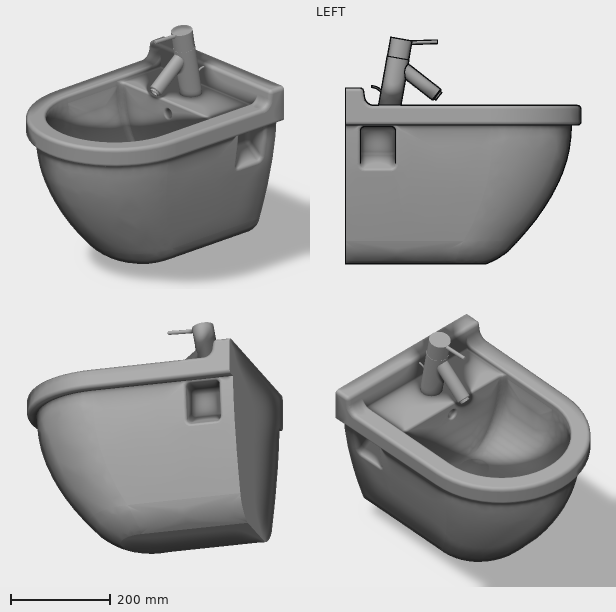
import cadquery as cq
import math


BACK_HALF_WIDTH = 182.5
FRONT_RADIUS = 180.0
LENGTH = 475.0
FRONT_CENTER_Y = FRONT_RADIUS - LENGTH
RIM_TOP = 320.0
RIM_BOTTOM = 280.0
LEDGE_TOP = 355.0
LEDGE_DEPTH = 36.0
LEDGE_DRAFT = 8.0
COVE_RADIUS = 19.0
RIM_EDGE_RADIUS = 8.0
RIM_LOWER_RADIUS = 7.0

SKIRT_TOP = 300.0
SKIRT_TOP_HALF_WIDTH = 160.0
SKIRT_TOP_FRONT = 456.0
BELLY_HEIGHT = 46.0
BELLY_HALF_WIDTH = 109.0
BELLY_FRONT = 347.0
FLOOR_HALF_WIDTH = 58.0
FLOOR_FRONT = 283.0
SIDE_POWER = 1.55
FRONT_POWER = 2.0
SIDE_ROUNDING = 1.5
FRONT_ROUNDING = 1.25
SKIRT_STEPS = 4

DECK_HEIGHT = 310.0
DECK_CORNER_RADIUS = 3.5
BOWL_HALF_WIDTH = 140.0
BOWL_FRONT_Y = -435.0
BOWL_BACK_Y = -150.0
BOWL_CORNER_RADIUS = 12.0
BOWL_WALL_BOTTOM = 303.0
BOWL_BOTTOM = 180.0
BOWL_LIP_RADIUS = 5.5
DECK_LIP_RADIUS = 5.0
BOWL_SECTIONS = 6
BOWL_FRONT_POWER = 3

DRAIN_Y = -215.0
PLUG_DIAMETER = 60.0
DRAIN_MOUTH_RADIUS = 32.2
DRAIN_FRONT_ANGLE = -37.0
DRAIN_CORNER_ANGLES = (42.0, 48.0)
CREASE_START_RADIUS = 9.0
PLUG_SEAT_DEPTH = 8.0
PLUG_CROWN = 5.0
OVERFLOW_DIAMETER = 20.0
OVERFLOW_HEIGHT = 282.0
OVERFLOW_DEPTH = 40.0
OVERFLOW_CLEARANCE = 15.0
OVERFLOW_EDGE = 3.5

POCKET_BACK_Y = -30.0
POCKET_FRONT_Y = -101.0
POCKET_INNER_X = 106.0
POCKET_SKIN_X = 147.0
POCKET_CEILING = 277.0
POCKET_OUTER_FLOOR = 191.0
POCKET_INNER_FLOOR = 221.0
POCKET_CORNER_RADIUS = 9.0
POCKET_EDGE_RADIUS = 6.0

TAP_BASE_Y = -87.6
TAP_TILT = 10.0
TAP_DIAMETER = 45.0
HEAD_DIAMETER = 44.0
HEAD_LENGTH = 39.0
TOTAL_HEIGHT = 457.4
SPOUT_DIAMETER = 28.0
SPOUT_SLOPE = 38.0
SPOUT_END_CHAMFER = 1.5
SPOUT_END_Y = -184.7
SPOUT_END_Z = 340.6
SPOUT_REACH = 95.0
SPOUT_BORE_DEPTH = 6.0
AERATOR_DIAMETER = 20.0
AERATOR_BORE = 15.0
AERATOR_BORE_DEPTH = 4.0
AERATOR_PROTRUSION = 4.5
LEVER_DIAMETER = 8.0
LEVER_TIP_Y = -186.0
LEVER_TIP_Z = 448.0
LEVER_RISE = 2.0
LEVER_REACH = 65.0
LEVER_TIP_RADIUS = 1.5
ROD_DIAMETER = 4.0
ROD_TIP_Y = -52.7
ROD_TIP_Z = 357.5
ROD_BEND_RADIUS = 24.0
ROD_BEND_ANGLE = 85.0


def d_outline(height, half_width, front_y, back_y=0.0):
    """Closed D at the given height: straight back and sides, half-round front."""
    center_y = front_y + half_width
    return (
        cq.Workplane("XY", origin=(0, 0, height))
        .moveTo(-half_width, back_y)
        .lineTo(-half_width, center_y)
        .threePointArc((0, front_y), (half_width, center_y))
        .lineTo(half_width, back_y)
        .close()
    )


def rounded_d_outline(height, half_width, front_y, back_y, corner):
    """D outline whose two back corners are rounded."""
    center_y = front_y + half_width
    shift = corner * (1 - math.sqrt(0.5))
    return (
        cq.Workplane("XY", origin=(0, 0, height))
        .moveTo(-half_width, center_y)
        .threePointArc((0, front_y), (half_width, center_y))
        .lineTo(half_width, back_y - corner)
        .threePointArc((half_width - shift, back_y - shift), (half_width - corner, back_y))
        .lineTo(-half_width + corner, back_y)
        .threePointArc((-half_width + shift, back_y - shift), (-half_width, back_y - corner))
        .close()
    )


def loft_through(outlines):
    """Smooth solid through a list of closed outlines."""
    return cq.Workplane(cq.Solid.makeLoft([outline.val() for outline in outlines]))


def blend(start, end, fraction):
    return start + (end - start) * fraction


def ledge_face_y(height):
    """Y of the ledge's leaning front face at the given height."""
    return -LEDGE_DEPTH - (LEDGE_TOP - height) * math.tan(math.radians(LEDGE_DRAFT))


cove_center_y = ledge_face_y(RIM_TOP + COVE_RADIUS) - COVE_RADIUS / math.cos(math.radians(LEDGE_DRAFT))


def cove_point(angle):
    """Point (Y, Z) on the cove, with the angle measured down from level."""
    return (
        cove_center_y + COVE_RADIUS * math.cos(math.radians(angle)),
        RIM_TOP + COVE_RADIUS - COVE_RADIUS * math.sin(math.radians(angle)),
    )


def make_rim():
    """Tapered slab with a half-round front and a coved ledge along the wall."""
    plan = (
        cq.Workplane("XY", origin=(0, 0, RIM_BOTTOM))
        .moveTo(-BACK_HALF_WIDTH, 0)
        .lineTo(-FRONT_RADIUS, FRONT_CENTER_Y)
        .threePointArc((0, -LENGTH), (FRONT_RADIUS, FRONT_CENTER_Y))
        .lineTo(BACK_HALF_WIDTH, 0)
        .close()
        .extrude(LEDGE_TOP - RIM_BOTTOM)
    )
    side_profile = (
        cq.Workplane("YZ")
        .moveTo(0, RIM_BOTTOM)
        .lineTo(-LENGTH, RIM_BOTTOM)
        .lineTo(-LENGTH, RIM_TOP)
        .lineTo(cove_center_y, RIM_TOP)
        .threePointArc(cove_point(45 + LEDGE_DRAFT / 2), cove_point(LEDGE_DRAFT))
        .lineTo(-LEDGE_DEPTH, LEDGE_TOP)
        .lineTo(0, LEDGE_TOP)
        .close()
        .extrude(BACK_HALF_WIDTH, both=True)
    )
    rim = plan.intersect(side_profile)
    upper_edges = cq.selectors.BoxSelector(
        (-LENGTH, -2 * LENGTH, RIM_TOP - 1), (LENGTH, -1, LEDGE_TOP + 1)
    )
    cove_lines = cq.selectors.BoxSelector(
        (-1, cove_center_y - 1, RIM_TOP - 1), (1, -LEDGE_DEPTH, LEDGE_TOP - 1)
    )
    rim = rim.edges(upper_edges - cove_lines).fillet(RIM_EDGE_RADIUS)
    return rim.faces("<Z").edges("not >Y").fillet(RIM_LOWER_RADIUS)


def make_pocket(side):
    """Cutter for a mounting pocket with an outward-sloping floor; side is -1 or 1."""
    mouth_x = SKIRT_TOP_HALF_WIDTH + POCKET_EDGE_RADIUS
    floor_slope = (POCKET_INNER_FLOOR - POCKET_OUTER_FLOOR) / (POCKET_SKIN_X - POCKET_INNER_X)
    mouth_floor = POCKET_OUTER_FLOOR - floor_slope * (mouth_x - POCKET_SKIN_X)
    pocket = (
        cq.Workplane("XZ", origin=(0, POCKET_BACK_Y, 0))
        .moveTo(side * POCKET_INNER_X, POCKET_CEILING)
        .lineTo(side * POCKET_INNER_X, POCKET_INNER_FLOOR)
        .lineTo(side * mouth_x, mouth_floor)
        .lineTo(side * mouth_x, POCKET_CEILING)
        .close()
        .extrude(POCKET_BACK_Y - POCKET_FRONT_Y)
    )
    mouth_face = "<X" if side < 0 else ">X"
    return pocket.edges(f"not {mouth_face}").fillet(POCKET_CORNER_RADIUS)


def make_skirt():
    """Bulged bowl housing that narrows downwards and rolls under to a flat floor."""
    wall = [d_outline(SKIRT_TOP, SKIRT_TOP_HALF_WIDTH, -SKIRT_TOP_FRONT)]
    for step in range(SKIRT_STEPS + 1):
        drop = step / SKIRT_STEPS
        wall.append(
            d_outline(
                blend(RIM_BOTTOM, BELLY_HEIGHT, drop),
                blend(SKIRT_TOP_HALF_WIDTH, BELLY_HALF_WIDTH, drop**SIDE_POWER),
                -blend(SKIRT_TOP_FRONT, BELLY_FRONT, drop**FRONT_POWER),
            )
        )
    underside = []
    for step in range(SKIRT_STEPS + 1):
        rise = (step / SKIRT_STEPS) ** 2
        side_part = (1 - (1 - rise) ** SIDE_ROUNDING) ** (1 / SIDE_ROUNDING)
        front_part = (1 - (1 - rise) ** FRONT_ROUNDING) ** (1 / FRONT_ROUNDING)
        underside.append(
            d_outline(
                rise * BELLY_HEIGHT,
                blend(FLOOR_HALF_WIDTH, BELLY_HALF_WIDTH, side_part),
                -blend(FLOOR_FRONT, BELLY_FRONT, front_part),
            )
        )
    skirt = loft_through(wall).union(loft_through(underside))
    for side in (-1, 1):
        skirt = skirt.cut(make_pocket(side))
    pocket_insides = cq.selectors.BoxSelector(
        (-POCKET_SKIN_X + 1, POCKET_FRONT_Y - 1, POCKET_OUTER_FLOOR - 10),
        (POCKET_SKIN_X - 1, POCKET_BACK_Y + 1, POCKET_CEILING + 1),
    )
    around_pockets = cq.selectors.BoxSelector(
        (-LENGTH, POCKET_FRONT_Y - 1, POCKET_OUTER_FLOOR - 10),
        (LENGTH, POCKET_BACK_Y + 1, POCKET_CEILING + 1),
    )
    return skirt.edges(around_pockets - pocket_insides).fillet(POCKET_EDGE_RADIUS)


def drain_mouth_outline():
    """Drain mouth circle, split into arcs that match the edges of a rounded D outline."""
    outer_corner, inner_corner = DRAIN_CORNER_ANGLES

    def rim_point(angle):
        turn = math.radians(angle)
        return (DRAIN_MOUTH_RADIUS * math.cos(turn), DRAIN_Y + DRAIN_MOUTH_RADIUS * math.sin(turn))

    stops = [
        -180 - DRAIN_FRONT_ANGLE,
        DRAIN_FRONT_ANGLE,
        outer_corner,
        inner_corner,
        180 - inner_corner,
        180 - outer_corner,
        180 - DRAIN_FRONT_ANGLE,
    ]
    mouth = cq.Workplane("XY", origin=(0, 0, BOWL_BOTTOM)).moveTo(*rim_point(stops[0]))
    for start, end in zip(stops, stops[1:]):
        mouth = mouth.threePointArc(rim_point((start + end) / 2), rim_point(end))
    return mouth.close()


def make_bowl_cavity():
    """Cavity that sweeps from the round drain mouth up to a D-shaped opening."""
    outlines = [drain_mouth_outline()]
    for step in range(1, BOWL_SECTIONS + 1):
        angle = math.pi / 2 * step / BOWL_SECTIONS
        spread = math.sin(angle)
        half_width = blend(DRAIN_MOUTH_RADIUS, BOWL_HALF_WIDTH, spread)
        center_y = blend(BOWL_FRONT_Y + BOWL_HALF_WIDTH, DRAIN_Y, (1 - spread) ** BOWL_FRONT_POWER)
        outlines.append(
            rounded_d_outline(
                blend(BOWL_WALL_BOTTOM, BOWL_BOTTOM, math.cos(angle)),
                half_width,
                center_y - half_width,
                blend(DRAIN_Y + DRAIN_MOUTH_RADIUS, BOWL_BACK_Y, spread),
                blend(CREASE_START_RADIUS, BOWL_CORNER_RADIUS, spread),
            )
        )
    opening = rounded_d_outline(
        BOWL_WALL_BOTTOM, BOWL_HALF_WIDTH, BOWL_FRONT_Y, BOWL_BACK_Y, BOWL_CORNER_RADIUS
    )
    return loft_through(outlines).union(opening.extrude(RIM_TOP - BOWL_WALL_BOTTOM))


def make_basin():
    basin = make_rim().union(make_skirt())

    deck_front_y = BOWL_BACK_Y - BOWL_CORNER_RADIUS
    deck_clearance = (
        cq.Workplane("YZ")
        .moveTo(deck_front_y, DECK_HEIGHT)
        .lineTo(ledge_face_y(DECK_HEIGHT), DECK_HEIGHT)
        .lineTo(ledge_face_y(LEDGE_TOP), LEDGE_TOP)
        .lineTo(deck_front_y, LEDGE_TOP)
        .close()
        .extrude(BOWL_HALF_WIDTH, both=True)
    )
    basin = basin.cut(deck_clearance).cut(make_bowl_cavity())

    deck_sides = cq.selectors.BoxSelector(
        (-BOWL_HALF_WIDTH - 1, BOWL_BACK_Y + 1, DECK_HEIGHT - 1),
        (BOWL_HALF_WIDTH + 1, -LEDGE_DEPTH, DECK_HEIGHT + 1),
    )
    basin = basin.edges(deck_sides).fillet(DECK_CORNER_RADIUS)
    deck_front = cq.NearestToPointSelector((0, BOWL_BACK_Y, DECK_HEIGHT))
    basin = basin.edges(deck_front).fillet(DECK_LIP_RADIUS)
    lip_edges = cq.selectors.BoxSelector(
        (-BOWL_HALF_WIDTH - 1, BOWL_FRONT_Y - 1, RIM_TOP - 1),
        (BOWL_HALF_WIDTH + 1, cove_center_y - 1, RIM_TOP + 1),
    )
    basin = basin.edges(lip_edges).fillet(BOWL_LIP_RADIUS)

    plug_seat = (
        cq.Workplane("XY", origin=(0, DRAIN_Y, BOWL_BOTTOM - PLUG_SEAT_DEPTH))
        .circle(PLUG_DIAMETER / 2)
        .extrude(2 * PLUG_SEAT_DEPTH)
    )
    overflow = (
        cq.Workplane("XZ", origin=(0, BOWL_BACK_Y - OVERFLOW_CLEARANCE, OVERFLOW_HEIGHT))
        .circle(OVERFLOW_DIAMETER / 2)
        .extrude(-OVERFLOW_DEPTH)
    )
    basin = basin.cut(plug_seat).cut(overflow)
    overflow_mouth = cq.selectors.BoxSelector(
        (-OVERFLOW_DIAMETER, BOWL_BACK_Y - OVERFLOW_CLEARANCE, OVERFLOW_HEIGHT - OVERFLOW_DIAMETER),
        (OVERFLOW_DIAMETER, BOWL_BACK_Y + 5, OVERFLOW_HEIGHT + OVERFLOW_DIAMETER),
    )
    return basin.edges(overflow_mouth).edges("not |X").edges("not |Y").fillet(OVERFLOW_EDGE)


def make_plug():
    """Drain plug with a shallow domed top."""
    radius = PLUG_DIAMETER / 2
    dome_top = PLUG_SEAT_DEPTH + PLUG_CROWN
    dome_radius = (radius**2 + PLUG_CROWN**2) / (2 * PLUG_CROWN)
    dome_drop = dome_radius - math.sqrt(dome_radius**2 - (radius / 2) ** 2)
    return (
        cq.Workplane("XZ")
        .lineTo(radius, 0)
        .lineTo(radius, PLUG_SEAT_DEPTH)
        .threePointArc((radius / 2, dome_top - dome_drop), (0, dome_top))
        .close()
        .revolve(360, (0, 0, 0), (0, 1, 0))
        .translate((0, DRAIN_Y, BOWL_BOTTOM - PLUG_SEAT_DEPTH))
    )


def tilted_cylinder(diameter, length, start, direction):
    """Cylinder that starts at a point and runs along a direction."""
    plane = cq.Plane(origin=start, xDir=(1, 0, 0), normal=direction)
    return cq.Workplane(plane).circle(diameter / 2).extrude(length)


tilt = math.radians(TAP_TILT)
tap_axis = cq.Vector(0, -math.sin(tilt), math.cos(tilt))
tap_base = cq.Vector(0, TAP_BASE_Y, DECK_HEIGHT)
head_top_center_z = TOTAL_HEIGHT - HEAD_DIAMETER / 2 * math.sin(tilt)
tap_length = (head_top_center_z - DECK_HEIGHT) / math.cos(tilt)
head_start = tap_base + tap_axis * (tap_length - HEAD_LENGTH)

slope = math.radians(SPOUT_SLOPE)
spout_axis = cq.Vector(0, -math.cos(slope), -math.sin(slope))
spout_end = cq.Vector(0, SPOUT_END_Y, SPOUT_END_Z)


def make_tap_body():
    """Tilted column with its foot trimmed level on the deck."""
    foot_run = TAP_DIAMETER
    column = tilted_cylinder(
        TAP_DIAMETER, tap_length - HEAD_LENGTH + foot_run, tap_base - tap_axis * foot_run, tap_axis
    )
    below_deck = (
        cq.Workplane("XY", origin=(0, TAP_BASE_Y, DECK_HEIGHT))
        .rect(4 * TAP_DIAMETER, 4 * TAP_DIAMETER)
        .extrude(-2 * foot_run)
    )
    return column.cut(below_deck)


def make_tap_head():
    return tilted_cylinder(HEAD_DIAMETER, HEAD_LENGTH, head_start, tap_axis)


def make_lever(tap_head):
    """Thin handle bar that butts against the front of the tap head."""
    rise = math.radians(LEVER_RISE)
    direction = cq.Vector(0, math.cos(rise), -math.sin(rise))
    tip = cq.Vector(0, LEVER_TIP_Y, LEVER_TIP_Z)
    bar = tilted_cylinder(LEVER_DIAMETER, LEVER_REACH, tip, direction)
    return bar.faces("<Y").fillet(LEVER_TIP_RADIUS).cut(tap_head)


def make_spout(tap_body):
    """Sloping outlet that meets the column and has a bore for the aerator."""
    pipe = tilted_cylinder(SPOUT_DIAMETER, SPOUT_REACH, spout_end, -spout_axis)
    pipe = pipe.edges(cq.NearestToPointSelector(spout_end.toTuple())).chamfer(SPOUT_END_CHAMFER)
    bore = tilted_cylinder(AERATOR_DIAMETER, SPOUT_BORE_DEPTH, spout_end, -spout_axis)
    return pipe.cut(tap_body).cut(bore)


def make_aerator():
    """Insert in the spout end, with a blind bore in its outlet face."""
    start = spout_end - spout_axis * SPOUT_BORE_DEPTH
    length = SPOUT_BORE_DEPTH + AERATOR_PROTRUSION
    insert = tilted_cylinder(AERATOR_DIAMETER, length, start, spout_axis)
    outlet_face = spout_end + spout_axis * AERATOR_PROTRUSION
    bore = tilted_cylinder(AERATOR_BORE, AERATOR_BORE_DEPTH, outlet_face, -spout_axis)
    return insert.cut(bore)


def make_pull_rod(tap_body):
    """Curved waste rod that leaves the back of the tap and bends level at its tip."""
    bend = math.radians(ROD_BEND_ANGLE)
    center_z = ROD_TIP_Z - ROD_BEND_RADIUS

    def point_at(angle):
        return (
            ROD_TIP_Y - ROD_BEND_RADIUS * math.sin(angle),
            center_z + ROD_BEND_RADIUS * math.cos(angle),
        )

    path = cq.Workplane("YZ").moveTo(*point_at(0)).threePointArc(point_at(bend / 2), point_at(bend))
    rod = cq.Workplane("XZ", origin=(0, ROD_TIP_Y, ROD_TIP_Z)).circle(ROD_DIAMETER / 2).sweep(path)
    return rod.cut(tap_body)


basin = make_basin()
plug = make_plug()
tap_body = make_tap_body()
tap_head = make_tap_head()
lever = make_lever(tap_head)
spout = make_spout(tap_body)
aerator = make_aerator()
pull_rod = make_pull_rod(tap_body)

result = cq.Compound.makeCompound(
    [
        basin.val(),
        plug.val(),
        tap_body.val(),
        tap_head.val(),
        lever.val(),
        spout.val(),
        aerator.val(),
        pull_rod.val(),
    ]
)